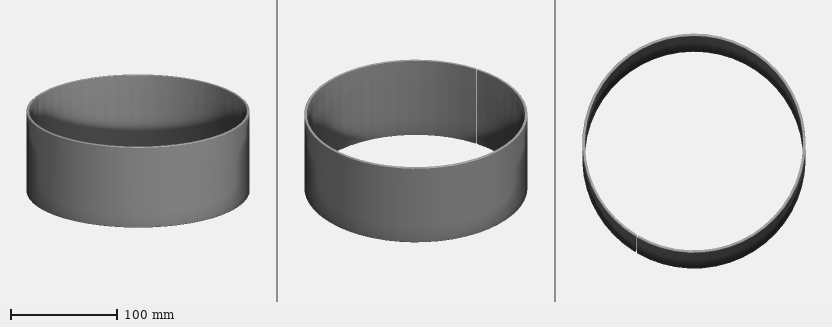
import cadquery as cq

outer_diameter = 210.0
height = 80.0
wall = 2.5
outer_chamfer = 0.5
inner_chamfer = 0.2
slit_angle = 1.0

outer_radius = outer_diameter / 2
inner_radius = outer_radius - wall

slit_start_angle = 180.0
sweep_angle = 360.0 - slit_angle


def make_wall_section():
    """Wall cross-section in the XZ plane: a tall rectangle with four chamfered corners."""
    return (
        cq.Workplane("XZ")
        .moveTo(inner_radius + inner_chamfer, 0)
        .lineTo(outer_radius - outer_chamfer, 0)
        .lineTo(outer_radius, outer_chamfer)
        .lineTo(outer_radius, height - outer_chamfer)
        .lineTo(outer_radius - outer_chamfer, height)
        .lineTo(inner_radius + inner_chamfer, height)
        .lineTo(inner_radius, height - inner_chamfer)
        .lineTo(inner_radius, inner_chamfer)
        .close()
    )


def make_split_ring():
    """Sweep the wall around Z, stopping one slit angle short of a full turn."""
    ring = make_wall_section().revolve(sweep_angle, (0, 0, 0), (0, 1, 0))
    return ring.rotate((0, 0, 0), (0, 0, 1), slit_start_angle)


result = make_split_ring()